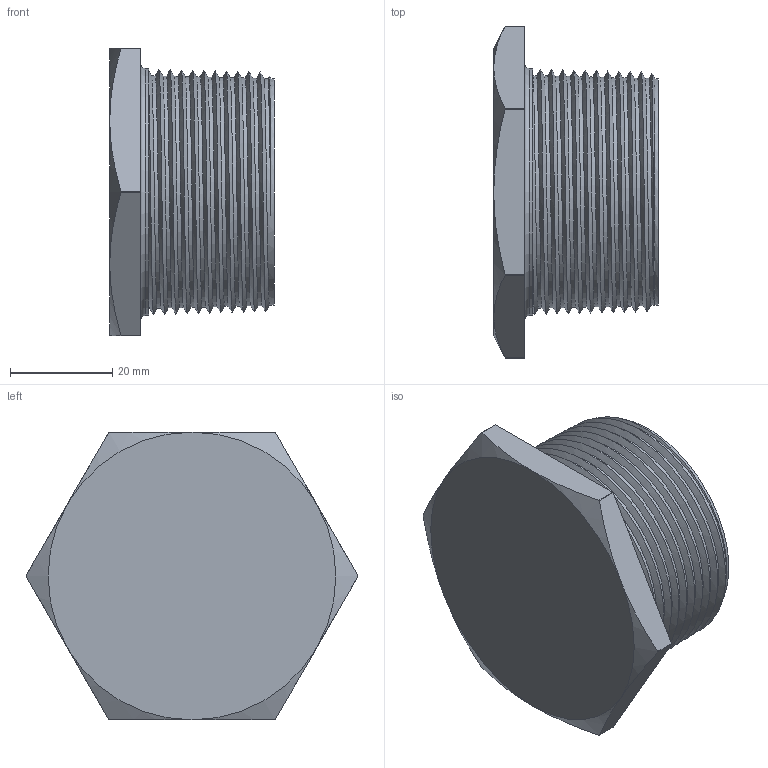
import cadquery as cq
import math

HEAD_ACROSS_FLATS = 56.35
HEAD_CORNER_DIAMETER = 65.0
HEAD_THICKNESS = 6.0
HEAD_CHAMFER_DEPTH = 2.2

COLLAR_DIAMETER = 48.37
COLLAR_LENGTH = 1.6
COLLAR_FILLET = 1.0

TOTAL_LENGTH = 32.2
CORE_START_RADIUS = 22.8
TAPER_ANGLE = 1.4
TAPER_SLOPE = math.tan(math.radians(TAPER_ANGLE))

THREAD_PITCH = 2.2
THREAD_HEIGHT = 1.25
THREAD_FLANK_ANGLE = 30.0
FLANK_SLOPE = math.tan(math.radians(THREAD_FLANK_ANGLE))
THREAD_ROOT_OVERLAP = 0.3
THREAD_START = 6.9
THREAD_TURNS = 12
RUNOUT_END = 31.55

COLLAR_END = HEAD_THICKNESS + COLLAR_LENGTH


def core_radius(x):
    """Radius of the tapered core at the axial position x."""
    return CORE_START_RADIUS - (x - COLLAR_END) * TAPER_SLOPE


def revolve_about_x(profile):
    """Solid of revolution about the plug axis from an open profile in the XY plane."""
    return profile.close().revolve(360, (0, 0, 0), (1, 0, 0))


def make_head():
    """Hexagonal prism with flats facing +Z and -Z, turned to a conical outer chamfer."""
    circumscribed_diameter = HEAD_ACROSS_FLATS / math.cos(math.pi / 6)
    prism = cq.Workplane("YZ").polygon(6, circumscribed_diameter).extrude(HEAD_THICKNESS)
    corner_radius = HEAD_CORNER_DIAMETER / 2
    turned_blank = revolve_about_x(
        cq.Workplane("XY")
        .lineTo(0, HEAD_ACROSS_FLATS / 2)
        .lineTo(HEAD_CHAMFER_DEPTH, corner_radius)
        .lineTo(HEAD_THICKNESS, corner_radius)
        .lineTo(HEAD_THICKNESS, 0)
    )
    return prism.intersect(turned_blank)


def make_shank():
    """Collar with its fillet against the head, followed by the tapered core."""
    collar_radius = COLLAR_DIAMETER / 2
    fillet_end = HEAD_THICKNESS + COLLAR_FILLET
    return revolve_about_x(
        cq.Workplane("XY")
        .moveTo(HEAD_THICKNESS, 0)
        .lineTo(HEAD_THICKNESS, collar_radius + COLLAR_FILLET)
        .radiusArc((fillet_end, collar_radius), -COLLAR_FILLET)
        .lineTo(COLLAR_END, collar_radius)
        .lineTo(COLLAR_END, core_radius(COLLAR_END))
        .lineTo(TOTAL_LENGTH, core_radius(TOTAL_LENGTH))
        .lineTo(TOTAL_LENGTH, 0)
    )


def make_helix_turn(turn, axial_offset, core_offset):
    """One turn of a conical helix, offset along X from the crest and outwards from the core."""
    start = THREAD_START + turn * THREAD_PITCH + axial_offset
    slant_pitch = THREAD_PITCH / math.cos(math.radians(TAPER_ANGLE))
    helix = cq.Wire.makeHelix(
        slant_pitch,
        slant_pitch,
        core_radius(start) + core_offset,
        angle=-TAPER_ANGLE,
    )
    helix = helix.rotate(cq.Vector(0, 0, 0), cq.Vector(1, 1, 1), 120)
    return helix.translate(cq.Vector(start, 0, 0))


def make_ridge_edges(turn):
    """The two root edges and the crest edge of one turn of the ridge."""
    root_half_width = (THREAD_HEIGHT + THREAD_ROOT_OVERLAP) * FLANK_SLOPE
    return [
        make_helix_turn(turn, -root_half_width, -THREAD_ROOT_OVERLAP),
        make_helix_turn(turn, 0, THREAD_HEIGHT),
        make_helix_turn(turn, root_half_width, -THREAD_ROOT_OVERLAP),
    ]


def make_ridge_end(edges, end):
    """Triangular face closing the ridge at the start (0) or the finish (1) of a turn."""
    corners = [edge.positionAt(end) for edge in edges]
    return cq.Face.makeFromWires(cq.Wire.makePolygon(corners, close=True))


def make_ridge():
    """Triangular ridge bounded, turn by turn, by ruled faces between three helices."""
    turns = [make_ridge_edges(turn) for turn in range(THREAD_TURNS)]
    faces = [make_ridge_end(turns[0], 0), make_ridge_end(turns[-1], 1)]
    for edges in turns:
        for i, edge in enumerate(edges):
            next_edge = edges[(i + 1) % len(edges)]
            faces.append(cq.Face.makeRuledSurface(edge, next_edge))
    return cq.Workplane(cq.Solid.makeSolid(cq.Shell.makeShell(faces)))


def make_thread():
    """Ridge trimmed at the free end by a cone that continues the flank angle."""
    outer_radius = COLLAR_DIAMETER / 2
    runout_radius = core_radius(RUNOUT_END)
    inner_radius = runout_radius - 2 * THREAD_ROOT_OVERLAP
    cone_start = RUNOUT_END - (outer_radius - runout_radius) * FLANK_SLOPE
    cone_end = RUNOUT_END + (runout_radius - inner_radius) * FLANK_SLOPE
    envelope = revolve_about_x(
        cq.Workplane("XY")
        .moveTo(HEAD_THICKNESS / 2, 0)
        .lineTo(HEAD_THICKNESS / 2, outer_radius)
        .lineTo(cone_start, outer_radius)
        .lineTo(cone_end, inner_radius)
        .lineTo(cone_end, 0)
    )
    return make_ridge().intersect(envelope)


plug = make_head().union(make_shank()).union(make_thread())
result = cq.Workplane(plug.solids().val())